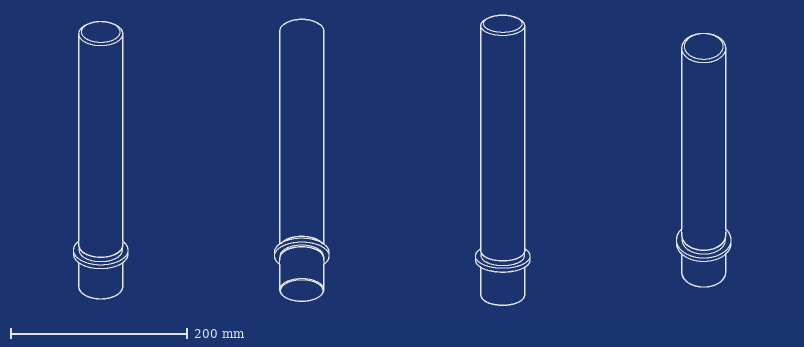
import cadquery as cq

total_length = 345.0
shaft_diameter = 50.0
neck_diameter = 49.0
flange_diameter = 62.0

lower_shaft_top = 43.0
flange_bottom = 45.5
flange_thickness = 5.2
upper_shaft_bottom = 57.0

top_chamfer_height = 2.5
top_chamfer_width = 3.0
bottom_chamfer = 1.0


def cylinder(diameter, bottom, top):
    """Solid cylinder on the Z axis between two heights."""
    return cq.Workplane("XY").workplane(offset=bottom).circle(diameter / 2).extrude(top - bottom)


lower_shaft = cylinder(shaft_diameter, 0, lower_shaft_top).faces("<Z").chamfer(bottom_chamfer)

neck = cylinder(neck_diameter, lower_shaft_top, upper_shaft_bottom)
flange = cylinder(flange_diameter, flange_bottom, flange_bottom + flange_thickness)

lead_in_bottom = total_length - top_chamfer_height
upper_shaft = cylinder(shaft_diameter, upper_shaft_bottom, lead_in_bottom)
lead_in = (
    cq.Workplane("XY")
    .workplane(offset=lead_in_bottom)
    .circle(shaft_diameter / 2)
    .workplane(offset=top_chamfer_height)
    .circle(shaft_diameter / 2 - top_chamfer_width)
    .loft(ruled=True)
)

result = lower_shaft.union(neck).union(flange).union(upper_shaft).union(lead_in)